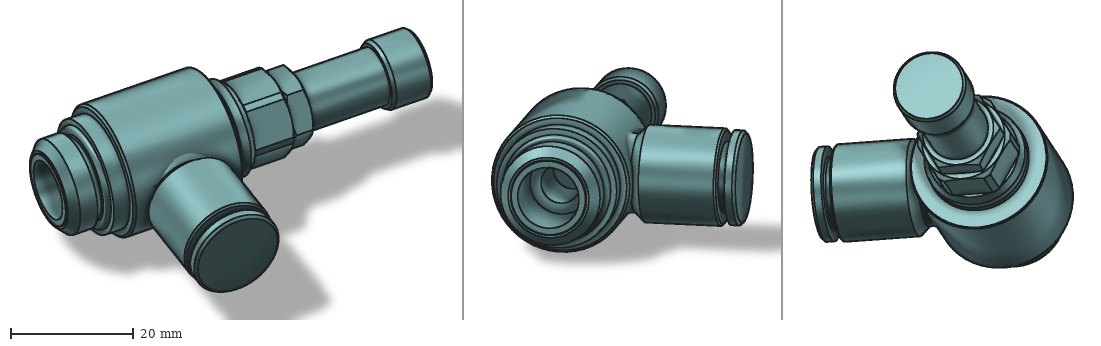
import cadquery as cq
import math

FULL_TURN = 360

RING_RADIUS = 11.5
RING_TOP_Y = 10.0
RING_BOTTOM_Y = -10.1
RING_TOP_CHAMFER = 0.2
RING_BOTTOM_CHAMFER = 0.4
BORE_RADIUS = 7.95

PORT_NECK_RADIUS = 6.5
PORT_NECK_FILLET = 0.6
PORT_CONE_START_X = 10.95
PORT_CONE_END_X = 12.6
PORT_RADIUS = 8.0
PORT_END_X = 25.4
PORT_CHAMFER = 0.35
SLEEVE_RADIUS = 5.85
SLEEVE_FLARE_RADIUS = 6.05
SLEEVE_FLARE_X = 26.5
BUTTON_START_X = 26.85
BUTTON_END_X = 28.6
BUTTON_RADIUS = 7.8
BUTTON_CHAMFER = 0.5

SCREW_END_Y = -20.0
THREAD_RADIUS = 8.3
THREAD_START_Y = -15.15
THREAD_END_Y = -18.35
THREAD_TIP_RADIUS = 6.7
LIP_BASE_RADIUS = 6.3
LIP_RADIUS = 6.2
LIP_HEIGHT = 0.15
COLLAR_RADIUS = 10.0
COLLAR_END_Y = -13.05
SEAL_RADIUS = 0.8
SEAL_CENTRE_RADIUS = 8.15
SEAL_Y = -13.1
RELIEF_RADIUS = SEAL_CENTRE_RADIUS - SEAL_RADIUS
RELIEF_END_Y = -14.0

PASSAGE_RADIUS = 5.1
PASSAGE_DEPTH = 10.2
ORIFICE_RADIUS = 3.25
ORIFICE_DEPTH = 20.4

BEAD_TOP_Y = 11.15
BEAD_HALF_HEIGHT = (BEAD_TOP_Y - RING_TOP_Y) / 2
FLANGE_RADIUS = 8.4
FLANGE_BOTTOM_Y = 11.5
FLANGE_TOP_Y = 14.3
FLANGE_CHAMFER_WIDTH = 0.9
FLANGE_CHAMFER_HEIGHT = 1.15

HEX_SIDES = 6
HEX_HALF_ANGLE = math.pi / HEX_SIDES
BODY_HEX_FLATS = 14.0
BODY_HEX_CORNER_RADIUS = 7.75
BODY_HEX_BEVEL_WIDTH = 0.8
BODY_HEX_BEVEL_HEIGHT = 0.5
NUT_HEX_FLATS = 12.05
NUT_START_Y = 21.75
NUT_END_Y = 25.85
NUT_BEVEL_WIDTH = 1.0
NUT_BEVEL_HEIGHT = 0.55

ROD_RADIUS = 5.0
KNOB_RADIUS = 6.05
KNOB_START_Y = 40.5
KNOB_END_Y = 48.0
KNOB_INNER_CHAMFER = 0.7
KNOB_CHAMFER_WIDTH = 0.4
KNOB_OUTER_CHAMFER = 0.5


def cylinder_y(radius, start_y, end_y):
    """Cylinder around the Y axis."""
    return cq.Workplane("XZ", origin=(0, start_y, 0)).circle(radius).extrude(start_y - end_y)


def banjo_ring():
    """Outer ring before the bore is cut."""
    ring = cylinder_y(RING_RADIUS, RING_BOTTOM_Y, RING_TOP_Y)
    ring = ring.faces(">Y").chamfer(RING_TOP_CHAMFER)
    return ring.faces("<Y").chamfer(RING_BOTTOM_CHAMFER)


def port_neck():
    """Cylinder that carries the port, starting inside the ring wall."""
    return cq.Workplane("YZ").circle(PORT_NECK_RADIUS).extrude(PORT_CONE_START_X)


def port_head():
    """Cone, port barrel, sleeve and release button, turned around the X axis."""
    outline = [
        (PORT_CONE_START_X, 0),
        (PORT_CONE_START_X, PORT_NECK_RADIUS),
        (PORT_CONE_END_X, PORT_RADIUS),
        (PORT_END_X - PORT_CHAMFER, PORT_RADIUS),
        (PORT_END_X, PORT_RADIUS - PORT_CHAMFER),
        (PORT_END_X, SLEEVE_RADIUS),
        (SLEEVE_FLARE_X, SLEEVE_RADIUS),
        (BUTTON_START_X, SLEEVE_FLARE_RADIUS),
        (BUTTON_START_X, BUTTON_RADIUS),
        (BUTTON_END_X - BUTTON_CHAMFER, BUTTON_RADIUS),
        (BUTTON_END_X, BUTTON_RADIUS - BUTTON_CHAMFER),
        (BUTTON_END_X, 0),
    ]
    return cq.Workplane("XY").polyline(outline).close().revolve(FULL_TURN, (0, 0, 0), (1, 0, 0))


def make_banjo():
    """Ring with its side port, bored to fit the screw."""
    ring = banjo_ring().union(port_neck())
    ring = ring.edges("%BSPLINE").fillet(PORT_NECK_FILLET)
    bore = cylinder_y(BORE_RADIUS, RING_BOTTOM_Y, RING_TOP_Y)
    return ring.union(port_head()).cut(bore)


def turned_screw():
    """Threaded end, collar, seal, stem, bead and flange, turned around the Y axis."""
    bead_middle_y = RING_TOP_Y + BEAD_HALF_HEIGHT
    bead_radius = BORE_RADIUS + BEAD_HALF_HEIGHT
    arc_step = BEAD_HALF_HEIGHT * math.sqrt(0.5)
    arc_radius = BORE_RADIUS + arc_step
    outline = (
        cq.Workplane("XY")
        .moveTo(0, SCREW_END_Y)
        .lineTo(LIP_RADIUS, SCREW_END_Y)
        .lineTo(LIP_BASE_RADIUS, SCREW_END_Y + LIP_HEIGHT)
        .lineTo(THREAD_TIP_RADIUS, SCREW_END_Y + LIP_HEIGHT)
        .lineTo(THREAD_RADIUS, THREAD_END_Y)
        .lineTo(THREAD_RADIUS, THREAD_START_Y)
        .lineTo(RELIEF_RADIUS, RELIEF_END_Y)
        .lineTo(RELIEF_RADIUS, SEAL_Y)
        .threePointArc(
            (SEAL_CENTRE_RADIUS, SEAL_Y - SEAL_RADIUS),
            (SEAL_CENTRE_RADIUS + SEAL_RADIUS, SEAL_Y),
        )
        .lineTo(SEAL_CENTRE_RADIUS + SEAL_RADIUS, COLLAR_END_Y)
        .lineTo(COLLAR_RADIUS, COLLAR_END_Y)
        .lineTo(COLLAR_RADIUS, RING_BOTTOM_Y)
        .lineTo(BORE_RADIUS, RING_BOTTOM_Y)
        .lineTo(BORE_RADIUS, RING_TOP_Y)
        .threePointArc((arc_radius, bead_middle_y - arc_step), (bead_radius, bead_middle_y))
        .threePointArc((arc_radius, bead_middle_y + arc_step), (BORE_RADIUS, BEAD_TOP_Y))
        .lineTo(BORE_RADIUS, FLANGE_BOTTOM_Y)
        .lineTo(FLANGE_RADIUS, FLANGE_BOTTOM_Y)
        .lineTo(FLANGE_RADIUS, FLANGE_TOP_Y - FLANGE_CHAMFER_HEIGHT)
        .lineTo(FLANGE_RADIUS - FLANGE_CHAMFER_WIDTH, FLANGE_TOP_Y)
        .lineTo(0, FLANGE_TOP_Y)
        .close()
    )
    return outline.revolve(FULL_TURN, (0, 0, 0), (0, 1, 0))


def hexagon(flats, start_y, end_y):
    """Hexagonal prism along Y with two corners on the X axis."""
    across_corners = flats / math.cos(HEX_HALF_ANGLE)
    base = cq.Workplane("XZ", origin=(0, start_y, 0)).polygon(HEX_SIDES, across_corners)
    return base.extrude(start_y - end_y)


def bevelled_cylinder(start_y, end_y, radius, bevel_width, bevel_height):
    """Cylinder along Y that narrows by a bevel at its end_y face."""
    inward = math.copysign(bevel_height, start_y - end_y)
    outline = [
        (0, start_y),
        (radius, start_y),
        (radius, end_y + inward),
        (radius - bevel_width, end_y),
        (0, end_y),
    ]
    return cq.Workplane("XY").polyline(outline).close().revolve(FULL_TURN, (0, 0, 0), (0, 1, 0))


def body_hexagon():
    """Hexagon above the flange, turned to a smaller corner radius and bevelled at its top."""
    turned = bevelled_cylinder(
        FLANGE_TOP_Y, NUT_START_Y, BODY_HEX_CORNER_RADIUS, BODY_HEX_BEVEL_WIDTH, BODY_HEX_BEVEL_HEIGHT
    )
    return hexagon(BODY_HEX_FLATS, FLANGE_TOP_Y, NUT_START_Y).intersect(turned)


def lock_nut():
    """Hexagon nut bevelled at both ends."""
    corner_radius = NUT_HEX_FLATS / 2 / math.cos(HEX_HALF_ANGLE)
    nut = hexagon(NUT_HEX_FLATS, NUT_START_Y, NUT_END_Y)
    for start_y, end_y in [(NUT_START_Y, NUT_END_Y), (NUT_END_Y, NUT_START_Y)]:
        turned = bevelled_cylinder(start_y, end_y, corner_radius, NUT_BEVEL_WIDTH, NUT_BEVEL_HEIGHT)
        nut = nut.intersect(turned)
    return nut


def knob():
    """Adjusting knob at the far end of the rod."""
    outline = [
        (0, KNOB_START_Y),
        (KNOB_RADIUS - KNOB_CHAMFER_WIDTH, KNOB_START_Y),
        (KNOB_RADIUS, KNOB_START_Y + KNOB_INNER_CHAMFER),
        (KNOB_RADIUS, KNOB_END_Y - KNOB_OUTER_CHAMFER),
        (KNOB_RADIUS - KNOB_CHAMFER_WIDTH, KNOB_END_Y),
        (0, KNOB_END_Y),
    ]
    return cq.Workplane("XY").polyline(outline).close().revolve(FULL_TURN, (0, 0, 0), (0, 1, 0))


def make_screw():
    """Complete flow control screw with its blind passage."""
    rod = cylinder_y(ROD_RADIUS, NUT_END_Y, KNOB_START_Y)
    screw = turned_screw().union(body_hexagon()).union(lock_nut()).union(rod).union(knob())
    passage_steps = [
        (PASSAGE_RADIUS, PASSAGE_DEPTH),
        (ORIFICE_RADIUS, ORIFICE_DEPTH),
    ]
    for radius, depth in passage_steps:
        screw = screw.cut(cylinder_y(radius, SCREW_END_Y, SCREW_END_Y + depth))
    return screw


banjo = make_banjo()
screw = make_screw()
result = cq.Compound.makeCompound([*banjo.solids().vals(), *screw.solids().vals()])